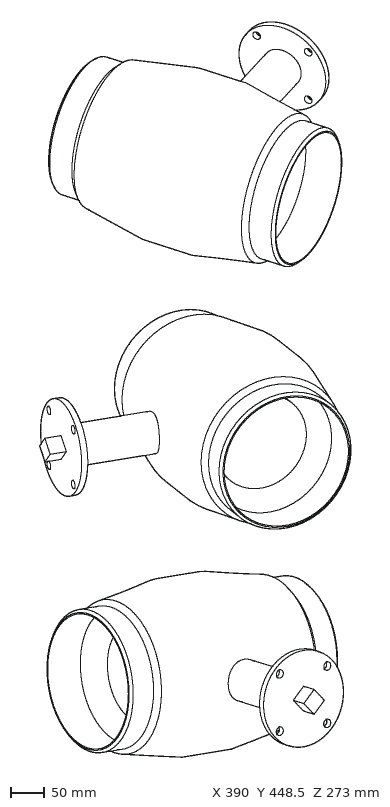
import cadquery as cq

body_length = 390.0
body_diameter = 273.0
total_width = 448.5
stem_top = total_width - body_diameter / 2

center_band_length = 80.0
shoulder_diameter = 236.5
end_diameter = 219.5
end_length = 42.5
end_bevel = 4.5

shoulder_bevel = (shoulder_diameter - end_diameter) / 2

mouth_diameter = 206.5
mouth_depth = 61.0
throat_diameter = 150.0
throat_depth = 91.0

stem_diameter = 65.0
flange_diameter = 150.0
flange_thickness = 10.5
drive_diagonal = 38.5
drive_height = 27.0
bolt_hole_diameter = 13.0
bolt_circle_diameter = 125.5
bolt_count = 4
first_bolt_angle = 45.0

flange_top = stem_top - drive_height
flange_bottom = flange_top - flange_thickness


def revolve_symmetric(half_profile):
    """Revolve (distance from center, radius) points, mirrored about X = 0, around the X axis."""
    left = [(-x, r) for x, r in half_profile]
    right = [(x, r) for x, r in reversed(half_profile)]
    outline = [(left[0][0], 0)] + left + right + [(right[-1][0], 0)]
    return cq.Workplane("XY").polyline(outline).close().revolve(360, (0, 0, 0), (1, 0, 0))


def across_stem(y):
    """Workplane normal to the stem, facing +Y, at the given Y."""
    return cq.Workplane("XZ", origin=(0, y, 0)).transformed(rotate=(180, 0, 0))


def make_body():
    half_length = body_length / 2
    shoulder_x = half_length - end_length
    return revolve_symmetric([
        (half_length, end_diameter / 2 - end_bevel),
        (half_length - end_bevel, end_diameter / 2),
        (shoulder_x, end_diameter / 2),
        (shoulder_x - shoulder_bevel, shoulder_diameter / 2),
        (center_band_length / 2, body_diameter / 2),
    ])


def make_bore():
    half_length = body_length / 2
    return revolve_symmetric([
        (half_length, mouth_diameter / 2),
        (half_length - mouth_depth, mouth_diameter / 2),
        (half_length - throat_depth, throat_diameter / 2),
    ])


def make_stem():
    stem = across_stem(0).circle(stem_diameter / 2).extrude(flange_bottom)
    flange = across_stem(flange_bottom).circle(flange_diameter / 2).extrude(flange_thickness)
    bolt_holes = (
        across_stem(flange_bottom)
        .polarArray(bolt_circle_diameter / 2, first_bolt_angle, 360, bolt_count)
        .circle(bolt_hole_diameter / 2)
        .extrude(flange_thickness)
    )
    drive = across_stem(flange_top).polygon(4, drive_diagonal).extrude(drive_height)
    return stem.union(flange.cut(bolt_holes)).union(drive)


result = make_body().union(make_stem()).cut(make_bore())